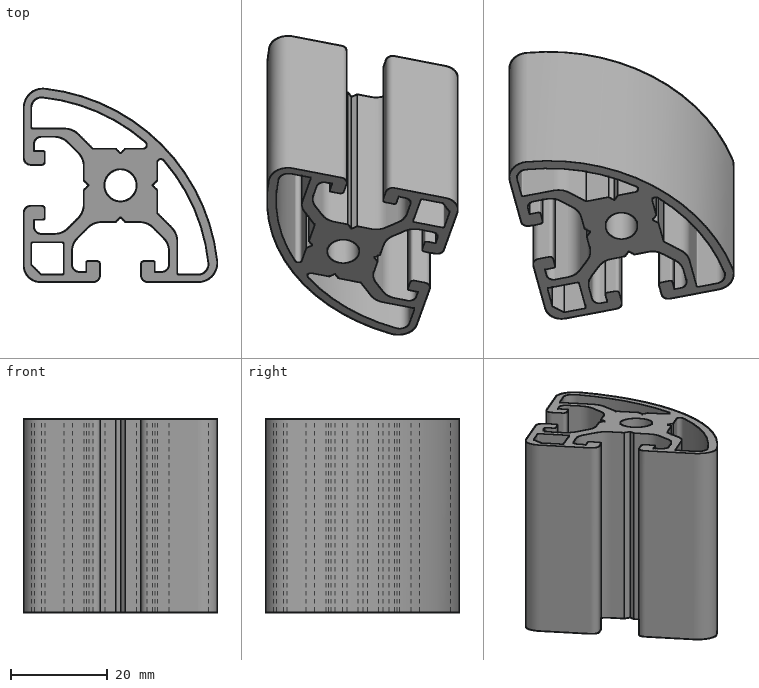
import cadquery as cq
import math

size = 40.0
length = 40.0
centre = size / 2
wall = 1.6

square_corner_radius = 3.5
arc_end_radius = 4.0
shell_thickness = 1.9
arc_end_centre = size - arc_end_radius
outer_arc_radius = math.hypot(arc_end_radius, arc_end_centre) + arc_end_radius
inner_arc_radius = outer_arc_radius - shell_thickness

bore_diameter = 6.6
core_half = 7.6
notch_depth = 1.0

mouth_half = 4.2
hook_inner_half = 7.1
slot_half = 10.0
hook_height = 4.4
hook_floor = 2.15
slot_shoulder_height = 8.0
mouth_radius = 1.5
hook_tip_radius = 0.7
hook_inner_radius = 0.4
slot_corner_radius = 1.5
slot_bend_radius = 4.0

web_half = 11.75
chamber_step_x = 14.25
chamber_bend_radius = 4.0
chamber_arc_radius = 2.1
chamber_end_x = 25.4
chamber_tip_radius = 0.8
chamber_end_radius = 0.7
small_radius = 0.3
square_chamber_chamfer = 2.0

clearance = 1.0


def rounded_outline(corners):
    """Closed outline of (x, y, radius) corners; a zero radius leaves the corner sharp."""
    path = None
    for i, (x, y, radius) in enumerate(corners):
        corner = cq.Vector(x, y)
        before = (cq.Vector(*corners[i - 1][:2]) - corner).normalized()
        after = (cq.Vector(*corners[(i + 1) % len(corners)][:2]) - corner).normalized()
        half_angle = before.getAngle(after) / 2
        setback = radius / math.tan(half_angle)
        arc_start = corner + before * setback
        start_point = arc_start.toTuple()[:2]
        path = path.lineTo(*start_point) if path else cq.Workplane().moveTo(*start_point)
        if radius > 0:
            arc_depth = radius / math.sin(half_angle) - radius
            arc_middle = corner + (before + after).normalized() * arc_depth
            arc_end = corner + after * setback
            path = path.threePointArc(arc_middle.toTuple()[:2], arc_end.toTuple()[:2])
    return path.close()


def across_diagonal(solid):
    """Mirror image of a solid in the plane X = Y."""
    return solid.mirror("YZ").rotate((0, 0, 0), (0, 0, 1), -90)


def make_body():
    """Solid quarter-round block; the large arc is centred on the square corner's vertex."""
    tangent_ratio = outer_arc_radius / (outer_arc_radius - arc_end_radius)
    tangent_near = arc_end_radius * tangent_ratio
    tangent_far = arc_end_centre * tangent_ratio
    arc_middle = outer_arc_radius * math.sqrt(0.5)
    end_angle = (math.pi + math.atan2(arc_end_centre, arc_end_radius)) / 2
    end_out = arc_end_centre + arc_end_radius * math.sin(end_angle)
    end_in = arc_end_radius + arc_end_radius * math.cos(end_angle)
    return (
        cq.Workplane()
        .lineTo(0, arc_end_centre)
        .threePointArc((end_in, end_out), (tangent_near, tangent_far))
        .threePointArc((arc_middle, arc_middle), (tangent_far, tangent_near))
        .threePointArc((end_out, end_in), (arc_end_centre, 0))
        .close()
        .extrude(length)
        .edges(cq.NearestToPointSelector((0, 0, centre)))
        .fillet(square_corner_radius)
    )


def make_slot():
    """T-slot void opening through the Y = 0 face, with a V-notch in its floor."""
    floor = centre - core_half
    shoulder_half = slot_half - (floor - slot_shoulder_height)
    half = [
        (slot_half, -clearance, 0),
        (slot_half, 0, 0),
        (mouth_half, 0, mouth_radius),
        (mouth_half, hook_height, hook_tip_radius),
        (hook_inner_half, hook_height, hook_inner_radius),
        (hook_inner_half, hook_floor, 0),
        (slot_half, hook_floor, slot_corner_radius),
        (slot_half, slot_shoulder_height, slot_bend_radius),
        (shoulder_half, floor, slot_bend_radius),
        (notch_depth, floor, 0),
    ]
    right = [(centre + u, y, r) for u, y, r in half]
    left = [(centre - u, y, r) for u, y, r in reversed(half)]
    notch = [(centre, floor + notch_depth, 0)]
    return rounded_outline(right + notch + left).extrude(length)


def make_arc_chamber():
    """Hollow behind the curved shell on the +Y side, with a V-notch in the core face."""
    web_y = centre + web_half
    core_y = centre + core_half
    bend_x = chamber_step_x - (web_y - core_y)
    outline = rounded_outline([
        (wall, size, 0),
        (wall, web_y, small_radius),
        (bend_x, web_y, chamber_bend_radius),
        (chamber_step_x, core_y, 0),
        (centre - notch_depth, core_y, 0),
        (centre, core_y - notch_depth, 0),
        (centre + notch_depth, core_y, 0),
        (chamber_end_x, core_y, chamber_end_radius),
        (chamber_end_x, size, 0),
    ])
    inside_shell = cq.Workplane().circle(inner_arc_radius).extrude(length)
    chamber = outline.extrude(length).intersect(inside_shell)
    for x, radius in ((wall, chamber_arc_radius), (chamber_end_x, chamber_tip_radius)):
        arc_y = math.sqrt(inner_arc_radius**2 - x**2)
        chamber = chamber.edges(cq.NearestToPointSelector((x, arc_y, length / 2))).fillet(radius)
    return chamber


def make_square_chamber():
    """Small square hollow by the square corner, chamfered towards that corner."""
    far = centre - web_half
    return rounded_outline([
        (wall + square_chamber_chamfer, wall, 0),
        (far, wall, small_radius),
        (far, far, small_radius),
        (wall, far, small_radius),
        (wall, wall + square_chamber_chamfer, 0),
    ]).extrude(length)


bore = cq.Workplane().center(centre, centre).circle(bore_diameter / 2).extrude(length)

result = make_body().cut(bore).cut(make_square_chamber())
for void in (make_slot(), make_arc_chamber()):
    result = result.cut(void).cut(across_diagonal(void))